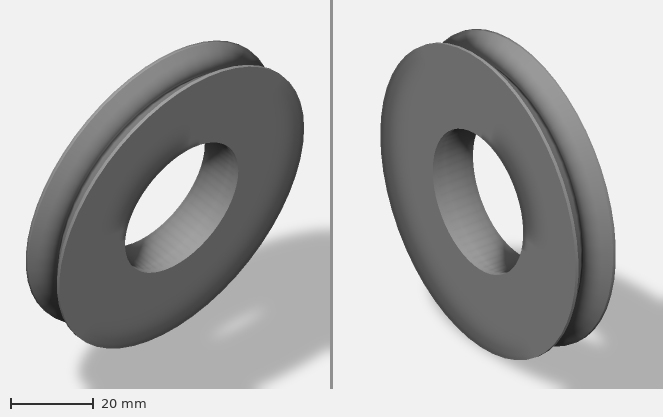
import cadquery as cq
import math

outer_diameter = 80.0
bore_diameter = 37.0
width = 12.0
groove_depth = 5.0
groove_floor_radius = 0.4
wall_angle = math.radians(45)

outer_radius = outer_diameter / 2
bore_radius = bore_diameter / 2
half_width = width / 2

floor_radius = outer_radius - groove_depth
tangent_x = groove_floor_radius * math.sin(wall_angle)
tangent_radius = floor_radius + groove_floor_radius * (1 - math.cos(wall_angle))

rim_x = tangent_x + (outer_radius - tangent_radius) / math.tan(wall_angle)


def wheel():
    """Revolve the half section, drawn with X along the axle and Y as the radius."""
    section = (
        cq.Workplane("XY")
        .moveTo(-half_width, bore_radius)
        .lineTo(-half_width, outer_radius)
        .lineTo(-rim_x, outer_radius)
        .lineTo(-tangent_x, tangent_radius)
        .threePointArc((0, floor_radius), (tangent_x, tangent_radius))
        .lineTo(rim_x, outer_radius)
        .lineTo(half_width, outer_radius)
        .lineTo(half_width, bore_radius)
        .close()
    )
    return section.revolve(360, (0, 0, 0), (1, 0, 0))


result = wheel()